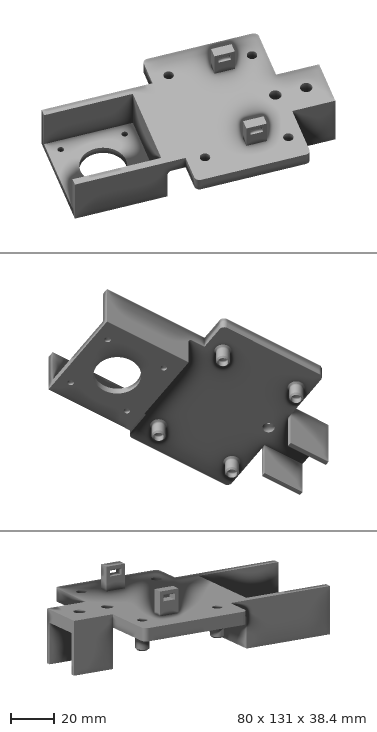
import cadquery as cq

TOTAL_LENGTH = 131.0

PLATE_WIDTH = 80.0
PLATE_THICKNESS = 6.4
PLATE_FRONT = 54.0
PLATE_BACK = 110.0
PLATE_CORNER_RADIUS = 2.5

BOX_WIDTH = 49.4
BOX_DEPTH = 23.3
BOX_LENGTH = 45.2
WALL = 3.5
POCKET_LENGTH = 43.2
BOX_FILLET = 2.0
MOTOR_BORE = 22.1
MOTOR_SCREW_HOLE = 3.0
MOTOR_SCREW_SPACING = 31.2
MOTOR_CENTER_Y = 21.9

TAIL_WIDTH = 24.1
TAIL_DEPTH = 26.5
TAIL_WALL = 2.2
TAIL_HOLE = 5.8
TAIL_HOLE_POSITIONS = (105.7, 120.8)

STANDOFF_SPACING_X = 54.2
STANDOFF_POSITIONS_Y = (62.6, 103.2)
STANDOFF_DIAMETER = 6.5
STANDOFF_LENGTH = 7.9
STANDOFF_BEVEL = 0.8
STANDOFF_HOLE = 4.8

TAB_THICKNESS = 4.8
TAB_LENGTH = 10.0
TAB_HEIGHT = 11.9
TAB_CENTER_X = 23.8
TAB_CENTER_Y = 88.0
SLOT_LENGTH = 6.2
SLOT_HEIGHT = 3.4
SLOT_TOP_MARGIN = 1.6
SLOT_LIP_RADIUS = 0.8


def block(width, y_start, y_end, z_bottom, z_top):
    """Box centred on X = 0 between the given Y and Z limits."""
    size = (width, y_end - y_start, z_top - z_bottom)
    return cq.Workplane("XY").box(*size, centered=(True, False, False)).translate((0, y_start, z_bottom))


def vertical_holes(points, diameter):
    """Cutters reaching through the whole height of the part."""
    cutter = cq.Workplane("XY").workplane(offset=-TAIL_DEPTH).pushPoints(points)
    return cutter.circle(diameter / 2).extrude(TAIL_DEPTH + TAB_HEIGHT)


def motor_box():
    neck = block(BOX_WIDTH, 0, PLATE_FRONT, -BOX_DEPTH, 0)
    under_neck = block(BOX_WIDTH, BOX_LENGTH, PLATE_FRONT, -BOX_DEPTH, -PLATE_THICKNESS)
    body = neck.cut(under_neck)
    inner_corner = cq.selectors.NearestToPointSelector((0, BOX_LENGTH, -PLATE_THICKNESS))
    body = body.edges(inner_corner).fillet(BOX_FILLET)
    pocket = block(BOX_WIDTH - 2 * WALL, 0, POCKET_LENGTH, WALL - BOX_DEPTH, 0)
    return body.cut(pocket)


def tail():
    body = block(TAIL_WIDTH, PLATE_BACK, TOTAL_LENGTH, -TAIL_DEPTH, 0)
    channel = block(TAIL_WIDTH - 2 * TAIL_WALL, PLATE_BACK, TOTAL_LENGTH, -TAIL_DEPTH, -PLATE_THICKNESS)
    return body.cut(channel)


def standoff():
    """Turned profile with a conical foot at the plate and a chamfered tip."""
    radius = STANDOFF_DIAMETER / 2
    tip = -PLATE_THICKNESS - STANDOFF_LENGTH
    profile = [
        (0, -PLATE_THICKNESS),
        (radius + STANDOFF_BEVEL, -PLATE_THICKNESS),
        (radius, -PLATE_THICKNESS - STANDOFF_BEVEL),
        (radius, tip + STANDOFF_BEVEL),
        (radius - STANDOFF_BEVEL, tip),
        (0, tip),
    ]
    return cq.Workplane("XZ").polyline(profile).close().revolve(360, (0, 0), (0, 1))


def tab():
    """Tab centred on the Z axis; the slot's upper edges are rounded over."""
    half_length = TAB_LENGTH / 2
    body = block(TAB_THICKNESS, -half_length, half_length, 0, TAB_HEIGHT)
    slot_top = TAB_HEIGHT - SLOT_TOP_MARGIN
    slot = block(TAB_THICKNESS, -SLOT_LENGTH / 2, SLOT_LENGTH / 2, slot_top - SLOT_HEIGHT, slot_top)
    lip = block(TAB_THICKNESS, -SLOT_LENGTH / 2, SLOT_LENGTH / 2, slot_top - SLOT_LIP_RADIUS, TAB_HEIGHT)
    lip = lip.edges("|Y and <Z").fillet(SLOT_LIP_RADIUS)
    return body.cut(slot).union(lip)


result = block(PLATE_WIDTH, PLATE_FRONT, PLATE_BACK, -PLATE_THICKNESS, 0)
result = result.edges("|Z").fillet(PLATE_CORNER_RADIUS)
result = result.union(motor_box()).union(tail())

standoff_points = []
for side in (-1, 1):
    result = result.union(tab().translate((side * TAB_CENTER_X, TAB_CENTER_Y, 0)))
    for y in STANDOFF_POSITIONS_Y:
        standoff_points.append((side * STANDOFF_SPACING_X / 2, y))
for x, y in standoff_points:
    result = result.union(standoff().translate((x, y, 0)))

half_spacing = MOTOR_SCREW_SPACING / 2
motor_screw_points = [
    (x, MOTOR_CENTER_Y + y) for x in (-half_spacing, half_spacing) for y in (-half_spacing, half_spacing)
]
result = result.cut(vertical_holes(standoff_points, STANDOFF_HOLE))
result = result.cut(vertical_holes([(0, y) for y in TAIL_HOLE_POSITIONS], TAIL_HOLE))
result = result.cut(vertical_holes([(0, MOTOR_CENTER_Y)], MOTOR_BORE))
result = result.cut(vertical_holes(motor_screw_points, MOTOR_SCREW_HOLE))